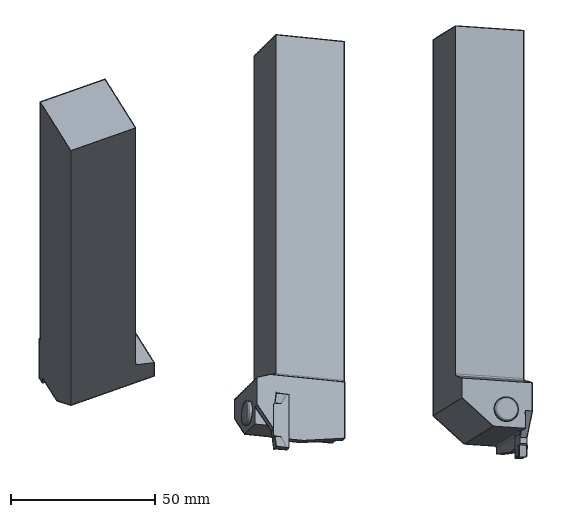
import cadquery as cq

overall_height = 151.35
shank_width = 25.0
shank_depth = 24.9

head_offset = 0.75
head_depth = 32.0
head_shoulder_z = 27.3
head_back_z = 25.0
shoulder_fillet = 0.8
head_bottom_z = 8.7
bevel_top_z = 18.0
bevel_bottom_x = 13.6

blade_width = 2.55
blade_bottom_z = 3.6
blade_front_z = 6.0
blade_flat_start_y = 15.3
blade_root_fillet = 0.7
blade_back_bottom_z = 6.7
blade_back_top_z = 15.0

screw_diameter = 8.5
screw_height = 1.4
screw_x = 9.0
screw_z = 14.9
screw_edge_fillet = 0.4

insert_front_y = 20.4
insert_back_y = 26.0
insert_length = 20.3
tip_rake_y = 25.1
rake_root_y = 25.6
tip_length = 4.1
rake_step = 0.5
edge_clearance = 0.4
edge_land = 0.4
tip_overhang = 0.3
root_overhang = 0.25
flare_end_y = 21.3
flare_root_y = 23.3

blade_x = -head_offset
blade_center_x = blade_x + blade_width / 2
insert_middle_z = insert_length / 2


def extrude_along_x(points, x_start, width):
    """Extrude a (Y, Z) outline in the +X direction."""
    return cq.Workplane("YZ", origin=(x_start, 0, 0)).polyline(points).close().extrude(width)


def make_head():
    """Head: an XZ outline limited by a YZ outline, with a concave arc up to the shank side."""
    front = (
        cq.Workplane("XZ")
        .moveTo(0, head_shoulder_z)
        .radiusArc((blade_x, head_shoulder_z - head_offset), head_offset)
        .lineTo(blade_x, head_bottom_z)
        .lineTo(bevel_bottom_x, head_bottom_z)
        .lineTo(shank_width, bevel_top_z)
        .lineTo(shank_width, head_shoulder_z)
        .close()
        .extrude(-head_depth)
    )
    side = extrude_along_x(
        [
            (0, 0),
            (head_depth, 0),
            (head_depth, head_back_z),
            (shank_depth, head_shoulder_z),
            (0, head_shoulder_z),
        ],
        blade_x,
        shank_width + head_offset,
    )
    return front.intersect(side)


def make_blade():
    """Thin blade with a concave fillet along the underside of the head."""
    root_x = blade_x + blade_width
    profile = (
        cq.Workplane("XZ")
        .moveTo(blade_x, 0)
        .lineTo(root_x, 0)
        .lineTo(root_x, head_bottom_z - blade_root_fillet)
        .radiusArc((root_x + blade_root_fillet, head_bottom_z), blade_root_fillet)
        .lineTo(blade_x, head_bottom_z)
        .close()
        .extrude(-head_depth)
    )
    outline = extrude_along_x(
        [
            (0, blade_front_z),
            (blade_flat_start_y, blade_bottom_z),
            (insert_front_y, blade_bottom_z),
            (insert_front_y, blade_back_bottom_z),
            (insert_back_y, blade_back_bottom_z),
            (head_depth, blade_back_top_z),
            (0, blade_back_top_z),
        ],
        blade_x,
        blade_width + blade_root_fillet,
    )
    return profile.intersect(outline)


def make_blade_back_relief():
    """Corner removed from the head so the blade's sloped back edge runs up to the +Y face."""
    return extrude_along_x(
        [
            (insert_back_y, blade_back_bottom_z),
            (head_depth, blade_back_top_z),
            (head_depth, blade_back_bottom_z),
        ],
        blade_x,
        blade_width,
    )


def make_screw_head():
    """Round clamp screw head on the +Y face of the head."""
    return (
        cq.Workplane("XZ", origin=(screw_x, head_depth, screw_z))
        .circle(screw_diameter / 2)
        .extrude(-screw_height)
        .faces(">Y")
        .edges()
        .fillet(screw_edge_fillet)
    )


def make_holder(insert):
    """Shank, head, blade and screw head in one solid, with a seat for the insert."""
    shank = (
        cq.Workplane("XY", origin=(0, 0, head_shoulder_z))
        .rect(shank_width, shank_depth, centered=False)
        .extrude(overall_height - head_shoulder_z)
    )
    head = make_head().cut(make_blade_back_relief())
    body = shank.union(head).union(make_blade())
    shoulder_corner = cq.selectors.NearestToPointSelector(
        (shank_width / 2, shank_depth, head_shoulder_z)
    )
    body = body.edges("|X").edges(shoulder_corner).fillet(shoulder_fillet)
    return body.union(make_screw_head()).cut(insert)


def tip_section(z, rake_y, overhang, run_out_y):
    """Closed wire across the flared tip, widest at the rake face."""
    half_body = blade_width / 2
    half_rake = half_body + overhang
    points = [
        (-half_rake, rake_y),
        (half_rake, rake_y),
        (half_body, run_out_y),
        (-half_body, run_out_y),
    ]
    outline = cq.Workplane("XY", origin=(blade_center_x, 0, z)).polyline(points).close()
    return outline.wires().val()


def make_tip_flare():
    """Tip that widens towards the rake face and the cutting edge."""
    end = tip_section(edge_clearance, tip_rake_y, tip_overhang, flare_end_y)
    root = tip_section(tip_length, rake_root_y, root_overhang, flare_root_y)
    return cq.Workplane(cq.Solid.makeLoft([end, root], True))


def make_half_insert():
    """Lower half of the insert, with the flared tip and its sloped end face."""
    half_body = extrude_along_x(
        [
            (insert_front_y, edge_clearance),
            (tip_rake_y - edge_land, edge_clearance),
            (tip_rake_y, 0),
            (rake_root_y, tip_length),
            (insert_back_y, tip_length + rake_step),
            (insert_back_y, insert_middle_z),
            (insert_front_y, insert_middle_z),
        ],
        blade_x,
        blade_width,
    )
    return half_body.union(make_tip_flare())


def make_insert():
    """Double-ended insert, the same at both ends."""
    half = make_half_insert()
    other_half = half.mirror("XY", (0, 0, insert_middle_z))
    return half.union(other_half)


insert = make_insert()
holder = make_holder(insert)

result = cq.Compound.makeCompound([holder.solids().val(), insert.solids().val()])